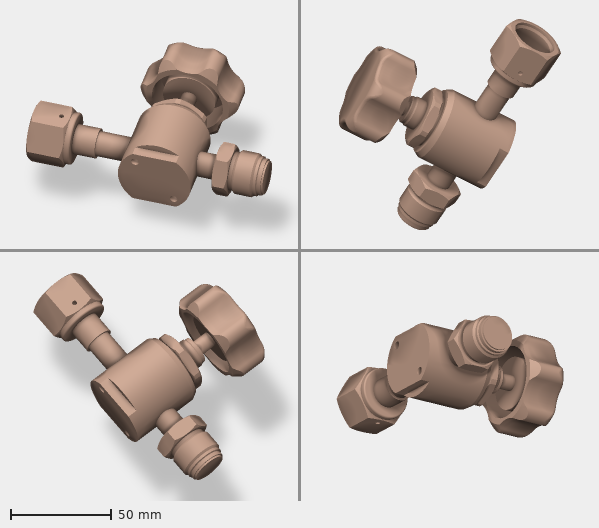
import cadquery as cq
import math


body_radius = 18.9
body_bottom = -17.7
body_top = 20.7
body_bevel_height = 2.9
body_bevel_width = 1.7
flat_spacing = 30.3
flat_height = 5.1
mount_hole_diameter = 4.0
mount_hole_depth = 4.8
mount_hole_offset = 10.0

pipe_radius = 12.7 / 2
gland_shank_radius = 15.3 / 2
gland_shank_end = -34.0
inlet_end = -67.7
inlet_nut_end = -48.7
inlet_flats = 27.4
inlet_front_face_radius = 13.7
inlet_rear_face_radius = 13.3
collar_end = -45.6
collar_radius = 13.2
collar_edge_radius = 0.8
inlet_mouth_radius = 22.6 / 2
inlet_mouth_depth = 1.5
inlet_bore_radius = 20.3 / 2
inlet_bore_end = -50.9
gland_face = -53.3
gland_radius = 17.1 / 2
gland_cone_radius = 14.9 / 2
flow_bore_radius = 10.3 / 2
flow_bore_end = -body_radius
flow_bore_floor_depth = 0.6
orifice_radius = 0.25 / 2
vent_hole_diameter = 2.4
drill_half_angle = math.radians(59)

outlet_nut_start = 28.0
outlet_nut_end = 35.7
outlet_flats = 23.7
outlet_face_radius = 11.9
outlet_neck_radius = 19.7 / 2
thread_bevel_start = 37.5
thread_start = 38.9
thread_end = 47.5
thread_radius = 11.1
thread_relief_start = 48.5
thread_relief_radius = 20.3 / 2
pilot_bevel_start = 50.0
pilot_start = 50.4
pilot_radius = 18.8 / 2
tip_start = 52.4
tip_radius = 17.1 / 2
outlet_end = 53.4

bonnet_flange_radius = 13.7
bonnet_nut_start = 22.0
bonnet_nut_end = 27.2
bonnet_flats = 28.7
bonnet_corner_radius = 15.9
bonnet_nut_lower_bevel = 0.7
bonnet_nut_upper_bevel = 1.1
gland_nut_radius = 15.9 / 2
gland_nut_end = 32.2
packing_start = 32.9
packing_radius = 7.3
packing_end = 35.0
packing_bevel = 0.5
stem_radius = 8.0 / 2

wheel_bottom = 41.0
wheel_top = 61.3
lobe_count = 6
lobe_radius = 5.1
lobe_pitch_radius = 20.3
valley_radius = 19.9
wheel_radius = lobe_pitch_radius + lobe_radius
envelope_clearance = 0.02
envelope_radius = wheel_radius + envelope_clearance
wheel_lower_bevel = 3.9
wheel_crown_radius = 6.0
wheel_edge_radius = 1.6
cavity_radius = 18.4
cavity_depth = 15.5
hub_radius = 13.6
hub_recess = 2.9

hex_bevel_slope = math.tan(math.radians(30))


def turned(axis, stations):
    """Solid of revolution about X or Y from (position, radius) stations."""
    outline = [(stations[0][0], 0), *stations]
    if stations[-1][1] > 0:
        outline.append((stations[-1][0], 0))
    if axis == "X":
        return cq.Workplane("XY").polyline(outline).close().revolve(360, (0, 0), (1, 0))
    swapped = [(radius, position) for position, radius in outline]
    return cq.Workplane("XY").polyline(swapped).close().revolve(360, (0, 0), (0, 1))


def cylinder(axis, start, end, radius):
    return turned(axis, [(start, radius), (end, radius)])


def hex_nut(axis, start, end, flats, envelope):
    """Hexagonal prism trimmed by a turned envelope, with corners on Y (X axis) or Z (Y axis)."""
    plane = "YZ" if axis == "X" else "ZX"
    corner_diameter = flats / math.cos(math.pi / 6)
    prism = cq.Workplane(plane).workplane(offset=start).polygon(6, corner_diameter).extrude(end - start)
    return prism.intersect(turned(axis, envelope))


def bevelled_nut(start, end, flats, start_radius, end_radius):
    """Hexagonal nut on X with a 30 degree bevel at each end."""
    corner_radius = flats / 2 / math.cos(math.pi / 6)
    start_bevel = (corner_radius - start_radius) * hex_bevel_slope
    end_bevel = (corner_radius - end_radius) * hex_bevel_slope
    envelope = [
        (start, start_radius),
        (start + start_bevel, corner_radius),
        (end - end_bevel, corner_radius),
        (end, end_radius),
    ]
    return hex_nut("X", start, end, flats, envelope)


def make_body():
    body = turned("Y", [
        (body_bottom, body_radius),
        (body_top - body_bevel_height, body_radius),
        (body_top, body_radius - body_bevel_width),
    ])
    for side in (1, -1):
        cutter = cq.Workplane("XY").box(
            2 * body_radius, flat_height, body_radius, centered=(True, False, False)
        )
        if side < 0:
            cutter = cutter.mirror("XY")
        body = body.cut(cutter.translate((0, body_bottom, side * flat_spacing / 2)))
    return body


def mounting_holes():
    """Two drilled holes on a diagonal of the mounting face."""
    radius = mount_hole_diameter / 2
    hole_end = body_bottom + mount_hole_depth
    drill = turned("Y", [
        (body_bottom, radius),
        (hole_end, radius),
        (hole_end + radius / math.tan(drill_half_angle), 0),
    ])
    first = drill.translate((-mount_hole_offset, 0, mount_hole_offset))
    second = drill.translate((mount_hole_offset, 0, -mount_hole_offset))
    return first.union(second)


def make_inlet():
    """Coupling nut around a hollow gland and its pipe."""
    nut = bevelled_nut(
        inlet_end, inlet_nut_end, inlet_flats, inlet_front_face_radius, inlet_rear_face_radius
    )
    collar = cylinder("X", inlet_nut_end, collar_end, collar_radius)
    collar = collar.faces(">X").edges().fillet(collar_edge_radius)
    mouth_end = inlet_end + inlet_mouth_depth
    nut_bore = turned("X", [
        (inlet_end, inlet_mouth_radius),
        (mouth_end, inlet_mouth_radius),
        (mouth_end + inlet_mouth_radius - inlet_bore_radius, inlet_bore_radius),
        (inlet_bore_end, inlet_bore_radius),
    ])
    vent = (
        cq.Workplane("XY")
        .center(gland_face, 0)
        .circle(vent_hole_diameter / 2)
        .extrude(inlet_flats / 2, both=True)
    )
    nut = nut.union(collar).cut(nut_bore).cut(vent)
    gland = cylinder("X", gland_face, inlet_bore_end, gland_radius)
    shank = cylinder("X", inlet_bore_end, gland_shank_end, gland_shank_radius)
    pipe = cylinder("X", gland_shank_end, 0, pipe_radius)
    return nut.union(gland).union(shank).union(pipe)


def inlet_flow_bore():
    """Blind bore with a conical mouth and a shallow dished floor."""
    return turned("X", [
        (gland_face, gland_cone_radius),
        (gland_face + gland_cone_radius - flow_bore_radius, flow_bore_radius),
        (flow_bore_end, flow_bore_radius),
        (flow_bore_end + flow_bore_floor_depth, orifice_radius),
    ])


def make_outlet():
    nut = bevelled_nut(
        outlet_nut_start, outlet_nut_end, outlet_flats, outlet_face_radius, outlet_face_radius
    )
    pipe = cylinder("X", 0, outlet_nut_start, pipe_radius)
    spigot = turned("X", [
        (outlet_nut_end, outlet_neck_radius),
        (thread_bevel_start, outlet_neck_radius),
        (thread_start, thread_radius),
        (thread_end, thread_radius),
        (thread_relief_start, thread_relief_radius),
        (pilot_bevel_start, thread_relief_radius),
        (pilot_start, pilot_radius),
        (tip_start, pilot_radius),
        (tip_start, tip_radius),
        (outlet_end, tip_radius),
    ])
    return pipe.union(nut).union(spigot)


def make_bonnet():
    flange = cylinder("Y", body_top, bonnet_nut_start, bonnet_flange_radius)
    nut = hex_nut("Y", bonnet_nut_start, bonnet_nut_end, bonnet_flats, [
        (bonnet_nut_start, bonnet_corner_radius - bonnet_nut_lower_bevel / hex_bevel_slope),
        (bonnet_nut_start + bonnet_nut_lower_bevel, bonnet_corner_radius),
        (bonnet_nut_end - bonnet_nut_upper_bevel, bonnet_corner_radius),
        (bonnet_nut_end, bonnet_corner_radius - bonnet_nut_upper_bevel / hex_bevel_slope),
    ])
    gland_nut = turned("Y", [
        (bonnet_nut_end, gland_nut_radius),
        (gland_nut_end, gland_nut_radius),
        (packing_start, packing_radius),
        (packing_end - packing_bevel, packing_radius),
        (packing_end, packing_radius - packing_bevel),
    ])
    stem = cylinder("Y", packing_end, wheel_bottom + hub_recess, stem_radius)
    return flange.union(nut).union(gland_nut).union(stem)


def polar(radius, angle):
    return radius * math.cos(angle), radius * math.sin(angle)


def wheel_outline():
    """Closed outline of round lobes joined by tangent concave valleys."""
    half_pitch = math.pi / lobe_count
    reach = valley_radius - lobe_radius
    valley_centre = (lobe_pitch_radius**2 - reach**2) / (
        2 * (lobe_pitch_radius * math.cos(half_pitch) - reach)
    )
    valley_arc_radius = valley_centre - valley_radius
    lobe_share = lobe_radius / (lobe_radius + valley_arc_radius)

    def tangent_point(lobe_angle, valley_angle):
        lobe_x, lobe_y = polar(lobe_pitch_radius, lobe_angle)
        valley_x, valley_y = polar(valley_centre, valley_angle)
        return (
            lobe_x + lobe_share * (valley_x - lobe_x),
            lobe_y + lobe_share * (valley_y - lobe_y),
        )

    outline = cq.Workplane("XZ", (0, wheel_bottom, 0)).moveTo(*tangent_point(0, -half_pitch))
    for index in range(lobe_count):
        lobe = index * 2 * half_pitch
        valley = lobe + half_pitch
        outline = outline.threePointArc(polar(wheel_radius, lobe), tangent_point(lobe, valley))
        outline = outline.threePointArc(
            polar(valley_radius, valley), tangent_point(lobe + 2 * half_pitch, valley)
        )
    return outline.close()


def wheel_envelope():
    """Turned blank that bevels the lobes underneath and rounds them on the crown."""
    bevel_start = wheel_radius - wheel_lower_bevel
    crown_drop = wheel_crown_radius * (1 - math.sqrt(0.5))
    return (
        cq.Workplane("XY")
        .moveTo(0, wheel_bottom)
        .lineTo(bevel_start, wheel_bottom)
        .lineTo(envelope_radius, wheel_bottom + envelope_radius - bevel_start)
        .lineTo(envelope_radius, wheel_top - wheel_crown_radius)
        .threePointArc(
            (envelope_radius - crown_drop, wheel_top - crown_drop),
            (envelope_radius - wheel_crown_radius, wheel_top),
        )
        .lineTo(0, wheel_top)
        .close()
        .revolve(360, (0, 0), (0, 1))
    )


def make_handwheel():
    wheel = wheel_outline().extrude(wheel_bottom - wheel_top).intersect(wheel_envelope())
    mid_height = (wheel_bottom + wheel_top) / 2
    rim_edges = [
        edge
        for edge in wheel.edges().vals()
        if edge.BoundingBox().ymin > mid_height and edge.geomType() != "CIRCLE"
    ]
    wheel = wheel.newObject(rim_edges).fillet(wheel_edge_radius)
    cavity = cylinder("Y", wheel_bottom, wheel_bottom + cavity_depth, cavity_radius)
    hub = cylinder("Y", wheel_bottom + hub_recess, wheel_bottom + cavity_depth, hub_radius)
    return wheel.cut(cavity).union(hub)


result = (
    make_body()
    .union(make_inlet())
    .union(make_outlet())
    .cut(inlet_flow_bore())
    .cut(mounting_holes())
    .union(make_bonnet())
    .union(make_handwheel())
)